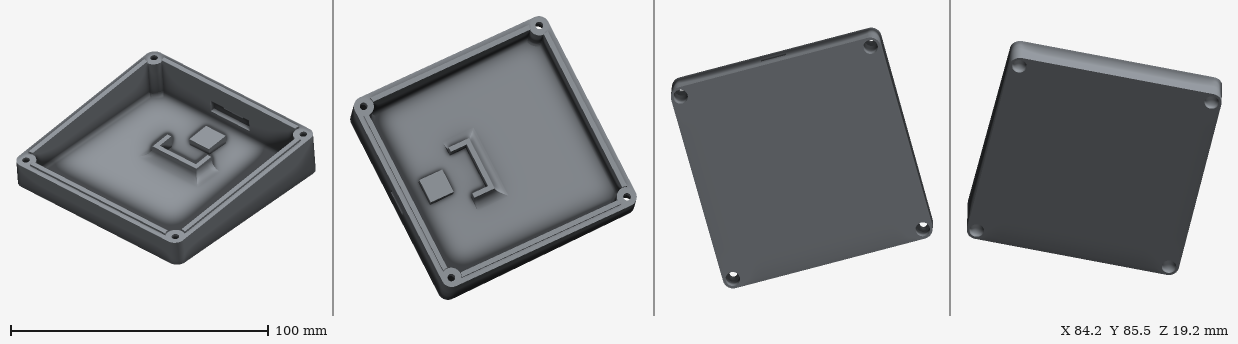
import cadquery as cq
import math

TILT = 5.0
SIDE = 84.2
TOTAL_LENGTH = 85.5
CORNER_RADIUS = 4.0
WALL = 4.0
FLOOR = 1.7
FLOOR_FILLET = 1.7

LIP_WIDTH = 2.0
LIP_HEIGHT = 0.9

POST_PITCH = 76.5
POST_RADIUS = 4.0
SCREW_DIAMETER = 3.0
HEAD_DIAMETER = 5.6
SCREW_SEAT = 3.0

PAD_SIDE = 10.0
PAD_HEIGHT = 3.25
PAD_Y = 24.7

CRADLE_INNER_WIDTH = 18.55
CRADLE_WALL = 2.0
CRADLE_DEPTH = 6.9
CRADLE_HEIGHT = 4.6
CRADLE_FRONT_Y = 5.05
CRADLE_FILLET = 4.0

PORT_WIDTH = 10.0
PORT_HEIGHT = 3.0
PORT_POCKET_WIDTH = 20.0
PORT_POCKET_HEIGHT = 5.5
PORT_SKIN = 2.0
PORT_TOP_DROP = 7.3

SLOPE_SIN = math.sin(math.radians(TILT))
SLOPE_COS = math.cos(math.radians(TILT))
REAR_WALL_LENGTH = (TOTAL_LENGTH - SIDE * SLOPE_COS) / SLOPE_SIN
RIM_REAR_Z = REAR_WALL_LENGTH * SLOPE_COS
RIM_CENTER_Z = RIM_REAR_Z - SIDE / 2 * SLOPE_SIN
RIM_REAR_Y = TOTAL_LENGTH / 2 - REAR_WALL_LENGTH * SLOPE_SIN
RIM_CENTER_Y = RIM_REAR_Y - SIDE / 2 * SLOPE_COS
INNER_SIDE = SIDE - 2 * WALL
DEEP = 34.2


def tilted_plane(y, z):
    """Plane parallel to the rim, passing through (0, y, z)."""
    return cq.Plane(origin=(0, y, z), xDir=(1, 0, 0), normal=(0, -SLOPE_SIN, SLOPE_COS))


def above(z):
    """Wide block standing on a level height."""
    return cq.Workplane("XY", origin=(0, 0, z)).rect(2 * SIDE, 2 * SIDE).extrude(DEEP)


RIM = tilted_plane(RIM_CENTER_Y, RIM_CENTER_Z)


def at_posts(drop=0):
    """Screw post centers on a plane the given distance below the rim."""
    plane = cq.Workplane(RIM).workplane(offset=-drop)
    return plane.rect(POST_PITCH, POST_PITCH, forConstruction=True).vertices()


def shell():
    block = cq.Workplane(RIM).sketch().rect(SIDE, SIDE).vertices().fillet(CORNER_RADIUS).finalize()
    block = block.extrude(-DEEP).intersect(above(0))
    cavity = cq.Workplane(RIM).rect(INNER_SIDE, INNER_SIDE).extrude(-DEEP)
    cavity = cavity.cut(at_posts().circle(POST_RADIUS).extrude(-DEEP))
    cavity = cavity.intersect(above(FLOOR)).faces("<Z").edges().fillet(FLOOR_FILLET)
    return block.cut(cavity)


def lip():
    outer = INNER_SIDE + 2 * LIP_WIDTH
    ring = cq.Workplane(RIM).rect(outer, outer).rect(INNER_SIDE, INNER_SIDE).extrude(LIP_HEIGHT)
    return ring.cut(at_posts().circle(POST_RADIUS).extrude(LIP_HEIGHT))


def screw_holes():
    shafts = at_posts().circle(SCREW_DIAMETER / 2).extrude(-DEEP)
    heads = at_posts(SCREW_SEAT).circle(HEAD_DIAMETER / 2).extrude(-DEEP)
    return shafts.union(heads)


def pad():
    top = cq.Workplane(tilted_plane(PAD_Y, FLOOR + PAD_HEIGHT))
    return top.rect(PAD_SIDE, PAD_SIDE).extrude(-2 * PAD_HEIGHT).intersect(above(FLOOR / 2))


def cradle():
    """Three-sided wall open to the rear, flared into the floor on its outer faces."""
    outer_width = CRADLE_INNER_WIDTH + 2 * CRADLE_WALL
    wall_end = CRADLE_WALL + CRADLE_DEPTH
    top = cq.Workplane(tilted_plane(CRADLE_FRONT_Y, FLOOR + CRADLE_HEIGHT))
    base = cq.Workplane("XY").rect(SIDE / 2, SIDE).extrude(FLOOR)
    block = top.center(0, wall_end).rect(outer_width, 2 * wall_end).extrude(-DEEP)
    block = block.intersect(above(FLOOR / 2))
    flared = base.union(block)
    near = 0.85
    level_gap = 0.1
    seam = cq.selectors.BoxSelector(
        (-outer_width / 2 - near, CRADLE_FRONT_Y - near, FLOOR - level_gap),
        (outer_width / 2 + near, CRADLE_FRONT_Y + 2 * wall_end - near, FLOOR + level_gap),
    )
    flared = flared.edges(seam).fillet(CRADLE_FILLET).intersect(above(FLOOR))
    rear = top.center(0, wall_end + SIDE / 2).rect(SIDE, SIDE).extrude(DEEP, both=True)
    bay = top.center(0, CRADLE_WALL + SIDE / 2).rect(CRADLE_INNER_WIDTH, SIDE).extrude(DEEP, both=True)
    return flared.cut(rear).cut(bay)


def port():
    """Slot through the rear wall, opening into a wider pocket on the inside."""
    wall = cq.Plane(
        origin=(0, RIM_REAR_Y, RIM_REAR_Z), xDir=(1, 0, 0), normal=(0, -SLOPE_COS, -SLOPE_SIN)
    )
    outside = cq.Workplane(wall)
    slot = outside.center(0, -PORT_TOP_DROP - PORT_HEIGHT / 2)
    slot = slot.rect(PORT_WIDTH, PORT_HEIGHT).extrude(WALL)
    pocket = outside.workplane(offset=PORT_SKIN).center(0, -PORT_TOP_DROP - PORT_POCKET_HEIGHT / 2)
    pocket = pocket.rect(PORT_POCKET_WIDTH, PORT_POCKET_HEIGHT).extrude(WALL - PORT_SKIN)
    return slot.union(pocket)


result = shell().union(lip())
result = result.union(pad()).union(cradle())
result = result.cut(screw_holes()).cut(port())